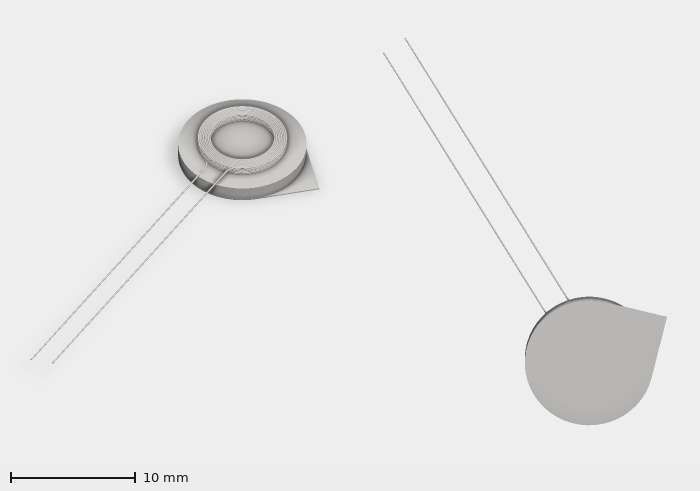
import cadquery as cq
import math

total_height = 2.1
total_length = 35.3

disc_diameter = 10.3
liner_thickness = 0.1
adhesive_thickness = 0.1

wire_diameter = 0.13
bare_wire_diameter = 0.12
stripped_length = 5.0
lead_spacing = 2.0
lead_bend_radius = 1.05

turns_per_layer = 8
layers = 6
coil_inner_radius = 2.55

disc_top = total_height - layers * wire_diameter
disc_radius = disc_diameter / 2
adhesive_top = liner_thickness + adhesive_thickness
wire_radius = wire_diameter / 2
inner_turn_radius = coil_inner_radius + wire_radius
outer_turn_radius = inner_turn_radius + (turns_per_layer - 1) * wire_diameter
bottom_layer_z = disc_top + wire_radius
top_layer_z = total_height - wire_radius
lead_x = lead_spacing / 2
lead_end_y = disc_radius - total_length
insulation_end_y = lead_end_y + stripped_length

bend_center_x = lead_x + lead_bend_radius
bend_center_distance = outer_turn_radius + lead_bend_radius
bend_center_y = -math.sqrt(bend_center_distance**2 - bend_center_x**2)


def make_liner():
    """Round release liner whose pull tab is a right-angled corner tangent to the circle."""
    tangent = disc_radius * math.sqrt(0.5)
    tab_tip = disc_radius * math.sqrt(2)
    return (
        cq.Workplane("XY")
        .moveTo(tangent, -tangent)
        .lineTo(tab_tip, 0)
        .lineTo(tangent, tangent)
        .threePointArc((-disc_radius, 0), (tangent, -tangent))
        .close()
        .extrude(liner_thickness)
    )


def make_round_layer(bottom, top):
    """Plain round plate of the disc's diameter between two heights."""
    return cq.Workplane("XY").workplane(offset=bottom).circle(disc_radius).extrude(top - bottom)


def make_winding():
    """Ring of touching round turns; only the outer turns shape its scalloped section."""
    sides = [
        (inner_turn_radius, bottom_layer_z, 1, 0, turns_per_layer),
        (outer_turn_radius, bottom_layer_z, 0, 1, layers),
        (outer_turn_radius, top_layer_z, -1, 0, turns_per_layer),
        (inner_turn_radius, top_layer_z, 0, -1, layers),
    ]
    section = cq.Workplane("XZ").moveTo(inner_turn_radius, bottom_layer_z + wire_radius)
    for first_r, first_z, step_r, step_z, count in sides:
        for bead in range(count - 1):
            r = first_r + bead * wire_diameter * step_r
            z = first_z + bead * wire_diameter * step_z
            outward = math.atan2(-step_r, step_z)
            if bead == 0:
                outward -= math.pi / 4
            section = section.threePointArc(
                (r + wire_radius * math.cos(outward), z + wire_radius * math.sin(outward)),
                (r + wire_radius * step_r, z + wire_radius * step_z),
            )
    ring = section.close().revolve(360, (0, 0, 0), (0, 1, 0))
    return ring.rotate((0, 0, 0), (0, 0, 1), 180)


def make_lead(side, z):
    """Insulated lead that leaves the outer turn through one bend; side is -1 or +1 along X."""
    touch = outer_turn_radius / bend_center_distance
    start = (side * bend_center_x * touch, bend_center_y * touch)
    bend_end = (side * lead_x, bend_center_y)
    path = (
        cq.Workplane("XY", origin=(0, 0, z))
        .moveTo(side * lead_x, insulation_end_y)
        .lineTo(*bend_end)
        .tangentArcPoint(start, relative=False)
    )
    return (
        cq.Workplane("XZ", origin=(side * lead_x, insulation_end_y, z))
        .circle(wire_radius)
        .sweep(path)
    )


def make_bare_end(side, z):
    """Stripped wire that continues a lead from the end of its insulation to the tip."""
    return (
        cq.Workplane("XZ", origin=(side * lead_x, insulation_end_y, z))
        .circle(bare_wire_diameter / 2)
        .extrude(stripped_length)
    )


lead_places = [(-1, bottom_layer_z), (1, top_layer_z)]

liner = make_liner()
adhesive = make_round_layer(liner_thickness, adhesive_top)
disc = make_round_layer(adhesive_top, disc_top)
coil = make_winding()
for side, z in lead_places:
    coil = coil.union(make_lead(side, z))
bare_ends = [make_bare_end(side, z) for side, z in lead_places]

result = cq.Compound.makeCompound(
    [liner.val(), adhesive.val(), disc.val(), coil.val(), *[end.val() for end in bare_ends]]
)